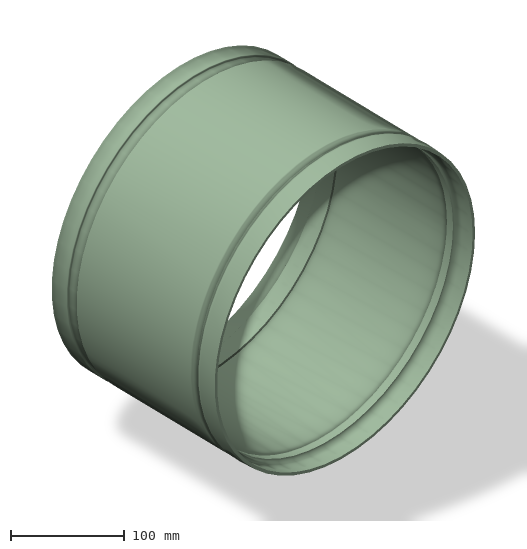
import cadquery as cq
import math

length = 203.0
body_diameter = 324.0
wall = 3.08

square_groove_start = 19.0
square_groove_width = 11.7
square_groove_diameter = 318.5

bead_groove_start = 174.0
bead_groove_slope_length = 4.0
bead_groove_flat_end = 181.0
bead_groove_diameter = 316.0

inner_slope_start = 171.5
inner_slope_length = 3.0
inner_shoulder_radius = 3.2

bead_diameter = 324.5
lip_end_diameter = 323.0

corner_radius = 0.5
slope_corner_radius = 1.5

body_radius = body_diameter / 2
bead_radius = bead_diameter / 2
lip_end_radius = lip_end_diameter / 2
square_groove_radius = square_groove_diameter / 2
bead_groove_radius = bead_groove_diameter / 2
square_groove_end = square_groove_start + square_groove_width
bead_groove_slope_end = bead_groove_start + bead_groove_slope_length

shoulder_radius = bead_radius - bead_groove_radius
shoulder_end = bead_groove_flat_end + shoulder_radius

bore_radius = body_radius - wall
square_groove_bore_radius = square_groove_radius - wall
bead_groove_bore_radius = bead_groove_radius - wall
inner_bulge_start = square_groove_start - wall
inner_bulge_end = square_groove_end + wall
inner_slope_end = inner_slope_start + inner_slope_length
inner_shoulder_start = shoulder_end - inner_shoulder_radius
lip_bore_radius = bead_radius - wall
inner_shoulder_center_radius = lip_bore_radius - inner_shoulder_radius

match_tolerance = 0.003


def quarter_arc_middle(center_x, center_radius, arc_radius):
    """Middle point of the quarter arc that faces -X and outward."""
    reach = arc_radius * math.sqrt(0.5)
    return (center_x - reach, center_radius + reach)


def tube_profile():
    """Half section of the formed wall: x along the pipe, y as the radius."""
    outer_arc_middle = quarter_arc_middle(shoulder_end, bead_groove_radius, shoulder_radius)
    inner_arc_middle = quarter_arc_middle(
        shoulder_end, inner_shoulder_center_radius, inner_shoulder_radius
    )
    outer = (
        cq.Workplane("XY")
        .moveTo(0, body_radius)
        .lineTo(square_groove_start, body_radius)
        .lineTo(square_groove_start, square_groove_radius)
        .lineTo(square_groove_end, square_groove_radius)
        .lineTo(square_groove_end, body_radius)
        .lineTo(bead_groove_start, body_radius)
        .lineTo(bead_groove_slope_end, bead_groove_radius)
        .lineTo(bead_groove_flat_end, bead_groove_radius)
        .threePointArc(outer_arc_middle, (shoulder_end, bead_radius))
        .lineTo(length, lip_end_radius)
    )
    return (
        outer.lineTo(length, lip_end_radius - wall)
        .lineTo(shoulder_end, lip_bore_radius)
        .threePointArc(inner_arc_middle, (inner_shoulder_start, inner_shoulder_center_radius))
        .lineTo(inner_shoulder_start, bead_groove_bore_radius)
        .lineTo(inner_slope_end, bead_groove_bore_radius)
        .lineTo(inner_slope_start, bore_radius)
        .lineTo(inner_bulge_end, bore_radius)
        .lineTo(inner_bulge_end, square_groove_bore_radius)
        .lineTo(inner_bulge_start, square_groove_bore_radius)
        .lineTo(inner_bulge_start, bore_radius)
        .lineTo(0, bore_radius)
        .close()
    )


def round_corners(tube, corners, radius):
    """Round the circular edges at the listed (x, edge radius) corners."""

    def is_corner(edge):
        if edge.geomType() != "CIRCLE":
            return False
        return any(
            math.isclose(edge.Center().x, corner_x, abs_tol=match_tolerance)
            and math.isclose(edge.radius(), corner_r, abs_tol=match_tolerance)
            for corner_x, corner_r in corners
        )

    return tube.edges().filter(is_corner).fillet(radius)


square_groove_corners = [
    (square_groove_start, body_radius),
    (square_groove_start, square_groove_radius),
    (square_groove_end, body_radius),
    (inner_bulge_start, bore_radius),
    (inner_bulge_start, square_groove_bore_radius),
]
slope_corners = [
    (bead_groove_start, body_radius),
    (inner_slope_start, bore_radius),
    (inner_slope_end, bead_groove_bore_radius),
]

result = tube_profile().revolve(360, (0, 0, 0), (1, 0, 0))
result = round_corners(result, square_groove_corners, corner_radius)
result = round_corners(result, slope_corners, slope_corner_radius)